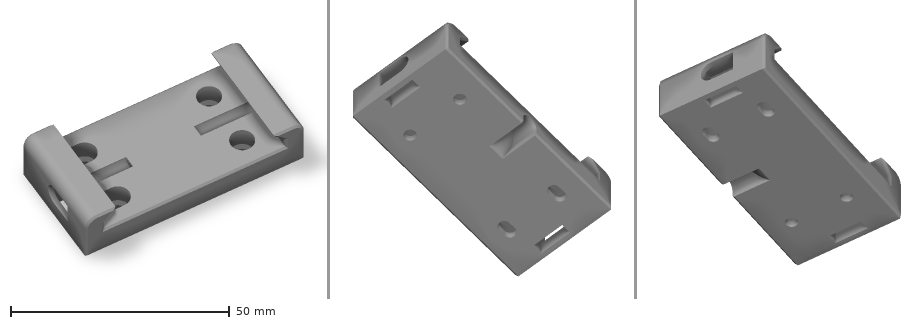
import cadquery as cq

WIDTH = 29.0
LENGTH = 58.0
HEIGHT = 13.0
EDGE_CHAMFER = 0.5
CORNER_RADIUS = 3.0

FLOOR_HEIGHT = 6.95
WALL_THICKNESS = 4.95
HOOK_REACH = 8.05
HOOK_TIP_THICKNESS = 0.35
HOOK_ROOT_HEIGHT = HEIGHT - HOOK_TIP_THICKNESS - (HOOK_REACH - WALL_THICKNESS)

HOLE_DIAMETER = 3.0
COUNTERBORE_DIAMETER = 6.0
COUNTERBORE_FLOOR = 2.0
HOLE_SPACING_X = 15.0
ROUND_HOLE_Y = 16.5
SLOT_Y = -17.5
SLOT_TRAVEL = 2.05

BORE_DIAMETER = 3.2
BORE_HEIGHT = FLOOR_HEIGHT
BORE_END_Y = 9.0
OPENING_HEIGHT = 5.5
OPENING_REACH = 6.0
LIP_THICKNESS = 1.4
NUT_POCKET_DEPTH = 4.1

NOTCH_WIDTH = 4.6
NOTCH_HEIGHT = 4.4
NOTCH_ROOF_DEPTH = 5.8


def clip_body():
    y_end = LENGTH / 2
    y_wall = y_end - WALL_THICKNESS
    y_sharp_tip = y_end - HOOK_REACH - HOOK_TIP_THICKNESS
    outline = [
        (-y_end, 0),
        (y_end, 0),
        (y_end, HEIGHT),
        (y_sharp_tip, HEIGHT),
        (y_wall, HOOK_ROOT_HEIGHT),
        (y_wall, FLOOR_HEIGHT),
        (-y_wall, FLOOR_HEIGHT),
        (-y_wall, HOOK_ROOT_HEIGHT),
        (-y_sharp_tip, HEIGHT),
        (-y_end, HEIGHT),
    ]
    body = cq.Workplane("YZ").polyline(outline).close().extrude(WIDTH / 2, both=True)
    for end in ("<Y", ">Y"):
        body = body.faces(end).edges(">Z").fillet(CORNER_RADIUS)
    return body.faces("<X or >X").chamfer(EDGE_CHAMFER)


def tip_cutter():
    """Blunts the sharp hook tips, chamfering their ends on the X sides."""
    x_end = WIDTH / 2
    x_chamfer = x_end - EDGE_CHAMFER
    y_tip = LENGTH / 2 - HOOK_REACH
    y_chamfer = y_tip + EDGE_CHAMFER
    gap = [
        (x_end, -y_chamfer),
        (x_end, y_chamfer),
        (x_chamfer, y_tip),
        (-x_chamfer, y_tip),
        (-x_end, y_chamfer),
        (-x_end, -y_chamfer),
        (-x_chamfer, -y_tip),
        (x_chamfer, -y_tip),
    ]
    return (
        cq.Workplane("XY", origin=(0, 0, FLOOR_HEIGHT))
        .polyline(gap)
        .close()
        .extrude(HEIGHT - FLOOR_HEIGHT)
    )


def mounting_cutter(diameter, bottom):
    height = FLOOR_HEIGHT - bottom
    columns = [(-HOLE_SPACING_X / 2, 0), (HOLE_SPACING_X / 2, 0)]
    plane = cq.Workplane("XY").workplane(offset=bottom)
    rounds = plane.center(0, ROUND_HOLE_Y).pushPoints(columns).circle(diameter / 2).extrude(height)
    slots = (
        plane.center(0, SLOT_Y)
        .pushPoints(columns)
        .slot2D(diameter + SLOT_TRAVEL, diameter, 90)
        .extrude(height)
    )
    return rounds.union(slots)


def screw_cutter():
    """Bore, D-shaped opening and nut pocket at the -Y end."""
    y_end = -LENGTH / 2
    plane = cq.Workplane("XZ", origin=(0, y_end, BORE_HEIGHT))
    bore = plane.circle(BORE_DIAMETER / 2).extrude(-(LENGTH / 2 - BORE_END_Y))
    radius = OPENING_HEIGHT / 2
    opening = (
        plane.moveTo(OPENING_REACH, radius)
        .lineTo(0, radius)
        .threePointArc((-radius, 0), (0, -radius))
        .lineTo(OPENING_REACH, -radius)
        .close()
        .extrude(-NUT_POCKET_DEPTH)
    )
    nut_pocket = cq.Workplane("XY").box(
        OPENING_REACH + radius,
        NUT_POCKET_DEPTH - LIP_THICKNESS,
        BORE_HEIGHT + radius,
        centered=False,
    )
    nut_pocket = nut_pocket.translate((-radius, y_end + LIP_THICKNESS, 0))
    return bore.union(opening).union(nut_pocket)


def notch_cutter():
    """Arched channel from the -X side whose end slopes down at 45 degrees to the underside."""
    radius = NOTCH_WIDTH / 2
    spring_height = NOTCH_HEIGHT - radius
    channel = (
        cq.Workplane("YZ", origin=(-WIDTH / 2, 0, 0))
        .moveTo(-radius, 0)
        .lineTo(-radius, spring_height)
        .threePointArc((0, NOTCH_HEIGHT), (radius, spring_height))
        .lineTo(radius, 0)
        .close()
        .extrude(NOTCH_ROOF_DEPTH + NOTCH_HEIGHT)
    )
    roof_end_x = -WIDTH / 2 + NOTCH_ROOF_DEPTH
    sloped_side = [
        (-WIDTH / 2, 0),
        (roof_end_x + NOTCH_HEIGHT, 0),
        (roof_end_x, NOTCH_HEIGHT),
        (-WIDTH / 2, NOTCH_HEIGHT),
    ]
    ramp_limit = cq.Workplane("XZ").polyline(sloped_side).close().extrude(radius, both=True)
    return channel.intersect(ramp_limit)


screws = screw_cutter()
result = (
    clip_body()
    .cut(tip_cutter())
    .cut(mounting_cutter(HOLE_DIAMETER, 0))
    .cut(mounting_cutter(COUNTERBORE_DIAMETER, COUNTERBORE_FLOOR))
    .cut(screws)
    .cut(screws.mirror("XZ"))
    .cut(notch_cutter())
)